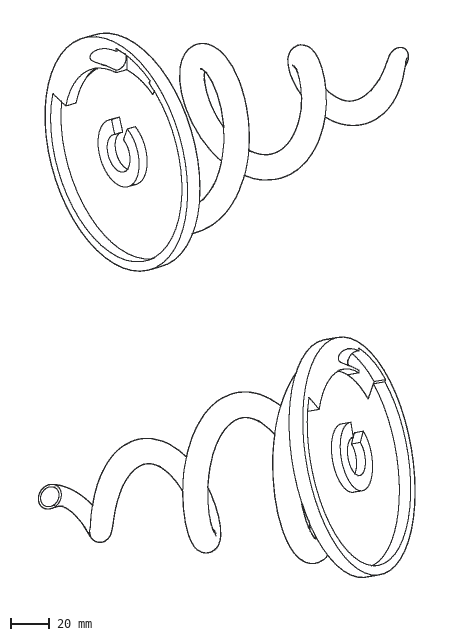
import cadquery as cq
import math

disc_diameter = 125.0
disc_thickness = 8.0
rim_width = 5.0
recess_depth = 6.65

tube_diameter = 13.5
bore_diameter = 10.8
coil_pitch = 60.0
coil_turns = 3
coil_start_radius = 52.5
coil_end_radius = 7.5
coil_start_y = 1.0
sections_per_turn = 24

block_start_angle = 90.0
block_end_angle = 165.0
pocket_start_angle = 60.0
pocket_depth = 6.75

collar_outer_diameter = 36.0
collar_inner_diameter = 20.0
collar_setback = 1.5
collar_start_angle = 110.0
collar_gap_angle = 45.0
collar_end_angle = collar_start_angle + 360 - collar_gap_angle

disc_radius = disc_diameter / 2
recess_radius = disc_radius - rim_width
collar_height = recess_depth - collar_setback
channel_inner_radius = coil_start_radius - tube_diameter / 2
channel_outer_radius = coil_start_radius + tube_diameter / 2


def disc_plane():
    """Plane of the open face, with X and Z as its axes and -Y as its normal."""
    return cq.Workplane("XZ")


def polar(radius, angle):
    """Point at a radius and angle, in the axes of the disc plane."""
    return (radius * math.cos(math.radians(angle)), radius * math.sin(math.radians(angle)))


def ring_sector(inner_radius, outer_radius, start_angle, end_angle, depth, height):
    """Part of a ring between two angles, reaching from Y = depth forwards by its height."""
    middle_angle = (start_angle + end_angle) / 2
    return (
        disc_plane()
        .workplane(offset=-depth)
        .moveTo(*polar(inner_radius, start_angle))
        .lineTo(*polar(outer_radius, start_angle))
        .threePointArc(polar(outer_radius, middle_angle), polar(outer_radius, end_angle))
        .lineTo(*polar(inner_radius, end_angle))
        .threePointArc(polar(inner_radius, middle_angle), polar(inner_radius, start_angle))
        .close()
        .extrude(height)
    )


def coil_section(diameter, turn):
    """Circle around the coil centre line, in the plane through the disc axis at this turn."""
    angle = 360 * turn
    radius = coil_start_radius + (coil_end_radius - coil_start_radius) * turn / coil_turns
    centre = cq.Vector(0, coil_start_y + coil_pitch * turn, radius)
    circle = cq.Wire.makeCircle(diameter / 2, centre, cq.Vector(1, 0, 0))
    return circle.rotate(cq.Vector(0, 0, 0), cq.Vector(0, 1, 0), -angle)


def coil(diameter):
    """Round bar along a conical helix, from the +Z side of the disc to the tip."""
    section_count = coil_turns * sections_per_turn
    sections = [coil_section(diameter, i / sections_per_turn) for i in range(section_count + 1)]
    return cq.Workplane(cq.Solid.makeLoft(sections))


def block():
    """Solid between rim and recess that holds the start of the tube."""
    return ring_sector(
        channel_inner_radius,
        disc_radius,
        block_start_angle,
        block_end_angle,
        recess_depth,
        recess_depth,
    )


def collar():
    """Open collar standing on the recess floor, lower than the rim."""
    return ring_sector(
        collar_inner_diameter / 2,
        collar_outer_diameter / 2,
        collar_start_angle,
        collar_end_angle,
        recess_depth,
        collar_height,
    )


def mouth_pocket():
    """Pocket in front of the tube mouth, cut into the rim and slightly below the recess floor."""
    return ring_sector(
        channel_inner_radius,
        channel_outer_radius,
        pocket_start_angle,
        block_start_angle,
        pocket_depth,
        pocket_depth,
    )


def recess():
    """Hollow of the disc, less the block and the collar that stand in it."""
    hollow = disc_plane().circle(recess_radius).extrude(-recess_depth)
    return hollow.cut(block()).cut(collar())


def front_space():
    """Space ahead of the open face, where the tube start is trimmed off."""
    return disc_plane().circle(disc_radius).extrude(tube_diameter)


disc = disc_plane().circle(disc_radius).extrude(-disc_thickness)
body = disc.union(coil(tube_diameter)).cut(front_space())
result = body.cut(recess()).cut(mouth_pocket()).cut(coil(bore_diameter))